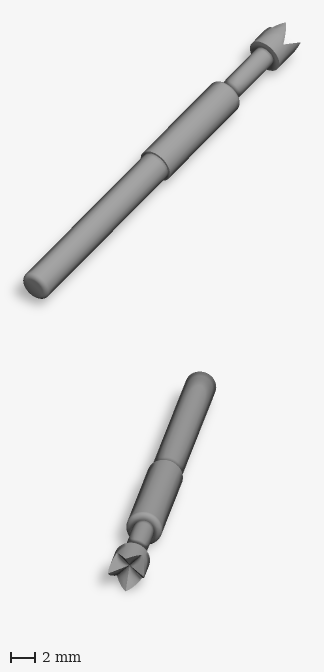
import cadquery as cq
import math


TUBE_DIAMETER = 2.6
COLLAR_DIAMETER = 3.0
STEM_DIAMETER = 1.8
CROWN_DIAMETER = 3.0

TUBE_LENGTH = 17.0
COLLAR_LENGTH = 10.0
STEM_LENGTH = 5.3
CROWN_LENGTH = 3.0

TUBE_END_RADIUS = 0.4
COLLAR_RIM_RADIUS = 0.4

GROOVE_ANGLE = 60.0
FIRST_GROOVE_DIRECTION = 45.0
GROOVE_DIRECTIONS = (FIRST_GROOVE_DIRECTION, FIRST_GROOVE_DIRECTION + 90)

COLLAR_START = TUBE_LENGTH
STEM_START = COLLAR_START + COLLAR_LENGTH
CROWN_START = STEM_START + STEM_LENGTH
CROWN_TIP = CROWN_START + CROWN_LENGTH


def rod(diameter, start, length):
    """Solid cylinder on the Y axis, running from start towards +Y."""
    plane = cq.Plane(origin=(0, start, 0), xDir=(-1, 0, 0), normal=(0, 1, 0))
    return cq.Workplane(plane).circle(diameter / 2).extrude(length)


def make_tube():
    """Rear tube with a rounded closed end."""
    return rod(TUBE_DIAMETER, 0, TUBE_LENGTH).faces("<Y").edges().fillet(TUBE_END_RADIUS)


def make_collar():
    """Thicker press-fit collar with a rounded front rim."""
    return rod(COLLAR_DIAMETER, COLLAR_START, COLLAR_LENGTH).faces(">Y").edges().fillet(COLLAR_RIM_RADIUS)


def make_groove(direction):
    """V-shaped cutter across the crown; its bottom line crosses the axis."""
    wall_slope = 1 / math.tan(math.radians(GROOVE_ANGLE / 2))
    point_offset = CROWN_DIAMETER / 2 * math.sin(math.radians(FIRST_GROOVE_DIRECTION))
    bottom = CROWN_TIP - point_offset * wall_slope
    half_width = CROWN_DIAMETER
    top = bottom + half_width * wall_slope
    return (
        cq.Workplane("XY")
        .polyline([(0, bottom), (half_width, top), (-half_width, top)])
        .close()
        .extrude(CROWN_DIAMETER, both=True)
        .rotate((0, 0, 0), (0, 1, 0), direction)
    )


def make_crown():
    """Crown head with four teeth, pointing along -X, +X, -Z and +Z at the tip."""
    crown = rod(CROWN_DIAMETER, CROWN_START, CROWN_LENGTH)
    for direction in GROOVE_DIRECTIONS:
        crown = crown.cut(make_groove(direction))
    return crown


stem = rod(STEM_DIAMETER, STEM_START, STEM_LENGTH)
result = make_tube().union(make_collar()).union(stem).union(make_crown())